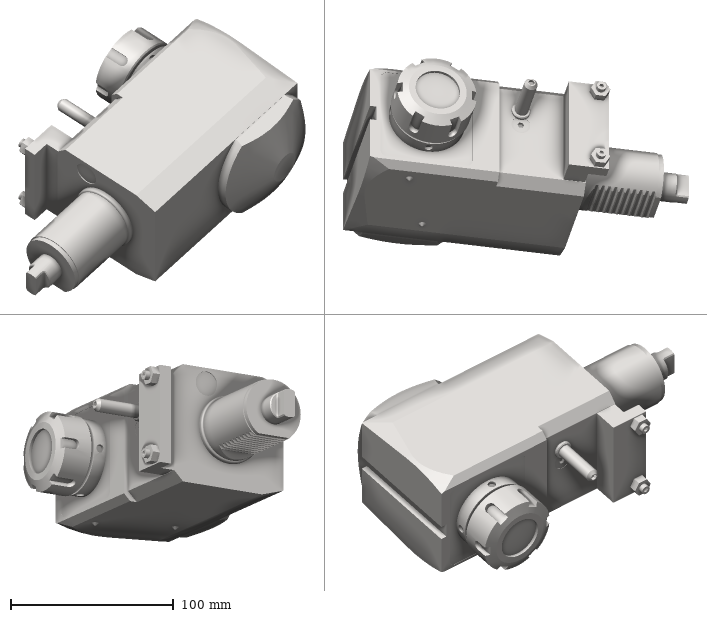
import cadquery as cq
import math


OVERLAP = 1.0
MARK_DEPTH = 0.2

BODY_LENGTH = 136.0
BODY_HALF_HEIGHT = 37.5
BODY_RIGHT = 39.0
FRONT_LEFT = -39.0
REAR_LEFT = -42.0
STEP_Y = 55.0
FRONT_CHAMFER = 6.2
REAR_CHAMFER = 4.4
TAPER_START_X = 24.0
TAPER_END_HALF_HEIGHT = 32.9

CROWN_APEX_X = -13.7
CROWN_APEX_Z = 36.6
CROWN_RADIUS = 95.7
CROWN_FALL_ANGLE = 4.6
CROWN_DRAFT = 16.2
CROWN_HALF_WIDTH = 54.0

REAR_SLOT_WIDTH = 10.0
REAR_SLOT_DEPTH = 4.0

SPINDLE_Y = 100.3
INSET_FRONT_Y = 71.5
INSET_REAR_Y = 129.4
INSET_HEIGHT = 62.8
INSET_CORNER = 4.5
COLLAR_RADIUS = 24.0
COLLAR_END_X = -50.3
NECK_RADIUS = 20.8
NUT_RADIUS = 25.0
NUT_BACK_X = -52.2
NUT_BACK_CHAMFER = 0.8
NUT_BEVEL_X = -72.0
NUT_FACE_X = -74.7
NUT_FACE_RADIUS = 18.0
NUT_BORE_RADIUS = 14.0
NUT_BORE_DEPTH = 2.0
NUT_SLOTS = 6
SLOT_WIDTH = 6.7
SLOT_DEPTH = 3.3
LONG_SLOT = 17.3
SHORT_SLOT = 13.0
COLLAR_HOLE_X = -46.2
COLLAR_HOLE_DIAMETER = 5.2
COLLAR_HOLE_DEPTH = 2.0

COVER_RADIUS = 40.1
COVER_RIM_X = 45.1
COVER_TIP_X = 58.9
COVER_TIP_RADIUS = 10.2
COVER_REAR_Y = 131.7
COVER_LEVEL_END_X = 40.8
COVER_HALF_HEIGHT = 32.7
COVER_FLAT_SLOPE = 0.2

FLANGE_RADIUS = 21.5
FLANGE_THICKNESS = 3.3
SHAFT_RADIUS = 20.2
SHAFT_END_Y = -53.0
SHAFT_LIP_Y = -50.0
SHAFT_LIP_RADIUS = 19.5
TANG_RADIUS = 9.0
TANG_SHOULDER_Y = -64.0
TANG_END_Y = -72.0
TANG_THICKNESS = 7.7
TANG_FILLET = 1.0
TANG_EDGE_CHAMFER = 0.6
RACK_Z = -16.2
RACK_START_Y = -10.5
RACK_PITCH = 4.0
RACK_GROOVES = 10
RACK_DEPTH = 1.9
RACK_ROOT_WIDTH = 1.5
RACK_TOP_WIDTH = 3.1

PIN_Y = 40.8
PIN_Z = 15.8
PIN_RADIUS = 4.2
PIN_TIP_X = -71.5
PIN_TIP_RADIUS = 2.5
PIN_TIP_LENGTH = 2.0
PIN_FLANGE_RADIUS = 5.8
PIN_FLANGE_THICKNESS = 2.0
PIN_FLANGE_CHAMFER = 0.6
PLUG_Z = 6.0
PLUG_RADIUS = 5.8
SOCKET_DIAMETER = 4.2
SOCKET_DEPTH = 2.0

BRACKET_OUTER_X = -56.0
BRACKET_LEG_X = -48.3
BRACKET_REAR_Y = 14.1
BRACKET_STEP_Y = 0.5
BRACKET_FRONT_Y = -11.0
BRACKET_HEIGHT = 62.0
STUD_Y = -4.8
STUD_Z = 25.0
STUD_RADIUS = 3.0
STUD_TIP_X = -64.0
HEX_NUT_DIAMETER = 12.0
HEX_NUT_END_X = -61.0
STUD_SOCKET_DIAMETER = 3.0

PORT_X = -16.0
PORT_Z = 27.5
PORT_RADIUS = 7.7
PORT_DEPTH = 0.6

BUTTON_PLACES = [(-30.2, 108.8), (16.6, 91.0)]
BUTTON_RADIUS = 2.3
BUTTON_TIP_RADIUS = 0.5
BUTTON_HEIGHT = 1.7


def box_between(x0, x1, y0, y1, z0, z1):
    size = (x1 - x0, y1 - y0, z1 - z0)
    return cq.Workplane("XY").box(*size, centered=False).translate((x0, y0, z0))


def turned_on_x(points, y, z):
    """Revolve an outline of (x, radius) points about the X-parallel axis through y, z."""
    return cq.Workplane("XY").polyline(points).close().revolve(360, (0, 0, 0), (1, 0, 0)).translate((0, y, z))


def rod_on_x(x0, x1, radius, y, z):
    return cq.Workplane("YZ", origin=(x0, y, z)).circle(radius).extrude(x1 - x0)


def hex_on_x(x0, x1, diameter, y, z):
    return cq.Workplane("YZ", origin=(x0, y, z)).polygon(6, diameter).extrude(x1 - x0)


def body_stretch(left, chamfer, y0, y1):
    """Prism along Y with chamfered left corners and tapered right corners."""
    upper = [
        (left, BODY_HALF_HEIGHT - chamfer),
        (left + chamfer, BODY_HALF_HEIGHT),
        (TAPER_START_X, BODY_HALF_HEIGHT),
        (BODY_RIGHT, TAPER_END_HALF_HEIGHT),
    ]
    lower = [(x, -z) for x, z in reversed(upper)]
    return cq.Workplane("XZ", origin=(0, y1, 0)).polyline(upper + lower).close().extrude(y1 - y0)


def crown():
    """Envelope that widens toward the front and leaves the crowned edges on the rear face."""
    fall = math.radians(CROWN_FALL_ANGLE)
    centre_z = CROWN_APEX_Z - CROWN_RADIUS

    def on_arc(angle):
        return CROWN_APEX_X + CROWN_RADIUS * math.sin(angle), centre_z + CROWN_RADIUS * math.cos(angle)

    start_angle = -math.asin((CROWN_HALF_WIDTH + CROWN_APEX_X) / CROWN_RADIUS)
    start = on_arc(start_angle)
    middle = on_arc((start_angle + fall) / 2)
    tangent = on_arc(fall)
    end = (CROWN_HALF_WIDTH, tangent[1] - (CROWN_HALF_WIDTH - tangent[0]) * math.tan(fall))

    def below(point):
        return point[0], -point[1]

    return (
        cq.Workplane("XZ", origin=(0, BODY_LENGTH, 0))
        .moveTo(*start)
        .threePointArc(middle, tangent)
        .lineTo(*end)
        .lineTo(*below(end))
        .lineTo(*below(tangent))
        .threePointArc(below(middle), below(start))
        .close()
        .extrude(BODY_LENGTH, taper=-CROWN_DRAFT)
    )


def housing():
    body = body_stretch(FRONT_LEFT, FRONT_CHAMFER, 0, STEP_Y)
    body = body.union(body_stretch(REAR_LEFT, REAR_CHAMFER, STEP_Y, BODY_LENGTH)).intersect(crown())
    slot_half = REAR_SLOT_WIDTH / 2
    slot = box_between(REAR_LEFT, BODY_RIGHT, BODY_LENGTH - REAR_SLOT_DEPTH, BODY_LENGTH, -slot_half, slot_half)
    inset = (
        box_between(
            REAR_LEFT, REAR_LEFT + MARK_DEPTH, INSET_FRONT_Y, INSET_REAR_Y, -INSET_HEIGHT / 2, INSET_HEIGHT / 2
        )
        .edges("|X")
        .fillet(INSET_CORNER)
    )
    port = cq.Workplane("XZ", origin=(PORT_X, 0, PORT_Z)).circle(PORT_RADIUS).extrude(-PORT_DEPTH)
    plug = rod_on_x(FRONT_LEFT, FRONT_LEFT + MARK_DEPTH, PLUG_RADIUS, PIN_Y, PLUG_Z)
    socket = hex_on_x(FRONT_LEFT, FRONT_LEFT + SOCKET_DEPTH, SOCKET_DIAMETER, PIN_Y, PLUG_Z)
    return body.cut(slot).cut(inset).cut(port).cut(plug).cut(socket)


def nut_slot(length):
    """Round-ended slot in the top of the nut, open at the nut face, for a spindle on the X axis."""
    floor = NUT_RADIUS - SLOT_DEPTH
    end_x = NUT_FACE_X + length - SLOT_WIDTH / 2
    straight = box_between(NUT_FACE_X, end_x, -SLOT_WIDTH / 2, SLOT_WIDTH / 2, floor, NUT_RADIUS)
    rounded = cq.Workplane("XY", origin=(end_x, 0, floor)).circle(SLOT_WIDTH / 2).extrude(SLOT_DEPTH)
    return straight.union(rounded)


def spindle():
    root_x = REAR_LEFT + OVERLAP
    outline = [
        (root_x, 0),
        (root_x, COLLAR_RADIUS),
        (COLLAR_END_X, COLLAR_RADIUS),
        (COLLAR_END_X, NECK_RADIUS),
        (NUT_BACK_X, NECK_RADIUS),
        (NUT_BACK_X, NUT_RADIUS - NUT_BACK_CHAMFER),
        (NUT_BACK_X - NUT_BACK_CHAMFER, NUT_RADIUS),
        (NUT_BEVEL_X, NUT_RADIUS),
        (NUT_FACE_X, NUT_FACE_RADIUS),
        (NUT_FACE_X, NUT_BORE_RADIUS),
        (NUT_FACE_X + NUT_BORE_DEPTH, NUT_BORE_RADIUS),
        (NUT_FACE_X + NUT_BORE_DEPTH, 0),
    ]
    solid = turned_on_x(outline, 0, 0)
    for i in range(NUT_SLOTS):
        angle = 90 + i * 360 / NUT_SLOTS
        length = SHORT_SLOT if i % (NUT_SLOTS // 2) == 0 else LONG_SLOT
        solid = solid.cut(nut_slot(length).rotate((0, 0, 0), (1, 0, 0), angle))
    hole = (
        cq.Workplane("XY", origin=(COLLAR_HOLE_X, 0, COLLAR_RADIUS - COLLAR_HOLE_DEPTH))
        .circle(COLLAR_HOLE_DIAMETER / 2)
        .extrude(2 * COLLAR_HOLE_DEPTH)
    )
    for angle in (0, 90, 180, 270):
        solid = solid.cut(hole.rotate((0, 0, 0), (1, 0, 0), angle))
    return solid.translate((0, SPINDLE_Y, 0))


def cover():
    root_x = BODY_RIGHT - OVERLAP
    outline = [
        (root_x, 0),
        (root_x, COVER_RADIUS),
        (COVER_RIM_X, COVER_RADIUS),
        (COVER_TIP_X, COVER_TIP_RADIUS),
        (COVER_TIP_X, 0),
    ]
    tip_half_height = COVER_HALF_HEIGHT - COVER_FLAT_SLOPE * (COVER_TIP_X - COVER_LEVEL_END_X)
    upper = [
        (root_x, COVER_HALF_HEIGHT),
        (COVER_LEVEL_END_X, COVER_HALF_HEIGHT),
        (COVER_TIP_X, tip_half_height),
    ]
    lower = [(x, -z) for x, z in reversed(upper)]
    flats = cq.Workplane("XZ", origin=(0, COVER_REAR_Y, 0)).polyline(upper + lower).close().extrude(BODY_LENGTH)
    return turned_on_x(outline, SPINDLE_Y, 0).intersect(flats)


def drive_shaft():
    rounding = FLANGE_RADIUS - SHAFT_RADIUS
    shaft = (
        cq.Workplane("XY")
        .moveTo(0, OVERLAP)
        .lineTo(FLANGE_RADIUS, OVERLAP)
        .lineTo(FLANGE_RADIUS, rounding - FLANGE_THICKNESS)
        .radiusArc((SHAFT_RADIUS, -FLANGE_THICKNESS), rounding)
        .lineTo(SHAFT_RADIUS, SHAFT_LIP_Y)
        .lineTo(SHAFT_LIP_RADIUS, SHAFT_LIP_Y)
        .lineTo(SHAFT_LIP_RADIUS, SHAFT_END_Y)
        .lineTo(0, SHAFT_END_Y)
        .close()
        .revolve(360, (0, 0, 0), (0, 1, 0))
    )
    return shaft.cut(rack()).union(tang())


def rack():
    """Space below the toothed flat, with the grooves between its teeth."""
    flat_depth = SHAFT_RADIUS + RACK_Z
    ramp = [
        (RACK_START_Y, RACK_Z),
        (RACK_START_Y + flat_depth, -SHAFT_RADIUS),
        (SHAFT_END_Y, -SHAFT_RADIUS),
        (SHAFT_END_Y, RACK_Z),
    ]
    wall_to_wall = 2 * SHAFT_RADIUS
    space = cq.Workplane("YZ", origin=(-SHAFT_RADIUS, 0, 0)).polyline(ramp).close().extrude(wall_to_wall)
    for i in range(RACK_GROOVES):
        y = RACK_START_Y - (i + 0.5) * RACK_PITCH
        groove = [
            (y - RACK_TOP_WIDTH / 2, RACK_Z),
            (y - RACK_ROOT_WIDTH / 2, RACK_Z + RACK_DEPTH),
            (y + RACK_ROOT_WIDTH / 2, RACK_Z + RACK_DEPTH),
            (y + RACK_TOP_WIDTH / 2, RACK_Z),
        ]
        cutter = cq.Workplane("YZ", origin=(-SHAFT_RADIUS, 0, 0)).polyline(groove).close().extrude(wall_to_wall)
        space = space.union(cutter)
    return space


def tang():
    """Round stub narrowed to a flat tang, with filleted feet and chamfered long edges."""
    root_y = SHAFT_END_Y + OVERLAP
    stub = cq.Workplane("XZ", origin=(0, root_y, 0)).circle(TANG_RADIUS).extrude(root_y - TANG_END_Y)
    side_cut = (
        box_between(TANG_THICKNESS / 2, TANG_RADIUS, TANG_END_Y, TANG_SHOULDER_Y, -TANG_RADIUS, TANG_RADIUS)
        .edges("|Z")
        .edges(">Y and <X")
        .fillet(TANG_FILLET)
    )
    flattened = stub.cut(side_cut).cut(side_cut.mirror("YZ"))
    return flattened.edges("|Y").edges("<Y").chamfer(TANG_EDGE_CHAMFER)


def locating_pin():
    root_x = FRONT_LEFT + OVERLAP
    flange_x = FRONT_LEFT - PIN_FLANGE_THICKNESS
    outline = [
        (root_x, 0),
        (root_x, PIN_FLANGE_RADIUS),
        (flange_x + PIN_FLANGE_CHAMFER, PIN_FLANGE_RADIUS),
        (flange_x, PIN_FLANGE_RADIUS - PIN_FLANGE_CHAMFER),
        (flange_x, PIN_RADIUS),
        (PIN_TIP_X + PIN_TIP_LENGTH, PIN_RADIUS),
        (PIN_TIP_X, PIN_TIP_RADIUS),
        (PIN_TIP_X, 0),
    ]
    socket = hex_on_x(PIN_TIP_X, PIN_TIP_X + SOCKET_DEPTH, SOCKET_DIAMETER, PIN_Y, PIN_Z)
    return turned_on_x(outline, PIN_Y, PIN_Z).cut(socket)


def bracket():
    half = BRACKET_HEIGHT / 2
    root_x = FRONT_LEFT + OVERLAP
    solid = box_between(BRACKET_OUTER_X, root_x, BRACKET_STEP_Y, BRACKET_REAR_Y, -half, half)
    solid = solid.union(
        box_between(BRACKET_OUTER_X, BRACKET_LEG_X, BRACKET_FRONT_Y, BRACKET_REAR_Y, -half, half)
    )
    root_x = BRACKET_OUTER_X + OVERLAP
    for z in (-STUD_Z, STUD_Z):
        solid = solid.union(hex_on_x(HEX_NUT_END_X, root_x, HEX_NUT_DIAMETER, STUD_Y, z))
        solid = solid.union(rod_on_x(STUD_TIP_X, root_x, STUD_RADIUS, STUD_Y, z))
        solid = solid.cut(hex_on_x(STUD_TIP_X, STUD_TIP_X + SOCKET_DEPTH, STUD_SOCKET_DIAMETER, STUD_Y, z))
    return solid


def button(x, y):
    outline = [
        (0, OVERLAP),
        (BUTTON_RADIUS, OVERLAP),
        (BUTTON_RADIUS, 0),
        (BUTTON_TIP_RADIUS, -BUTTON_HEIGHT),
        (0, -BUTTON_HEIGHT),
    ]
    cone = cq.Workplane("XZ").polyline(outline).close().revolve(360, (0, 0, 0), (0, 1, 0))
    return cone.translate((x, y, -BODY_HALF_HEIGHT))


result = housing()
for feature in (spindle(), cover(), drive_shaft(), locating_pin(), bracket()):
    result = result.union(feature)
for place in BUTTON_PLACES:
    result = result.union(button(*place))